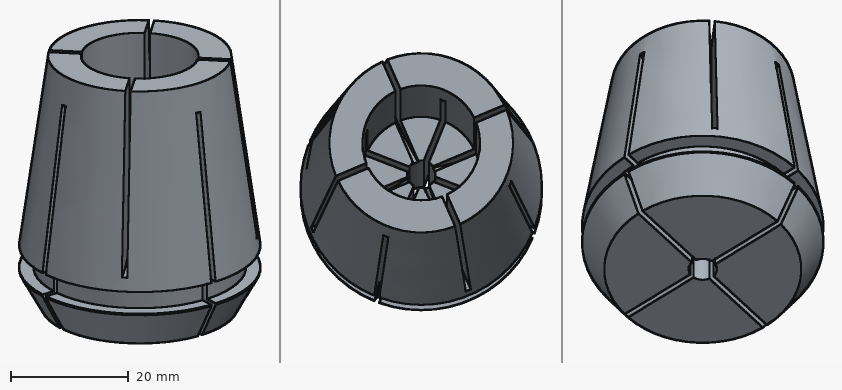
import cadquery as cq

height = 46.0
flange_radius = 20.5
top_radius = 15.6
nose_radius = 16.75
neck_radius = 18.1

rim_bottom = 6.8
rim_top = 7.1
cone_bottom = 11.1

large_bore_radius = 10.0
small_bore_radius = 2.4
bore_floor = 21.15

slot_width = 0.9
slots_per_end = 4
saw_radius = 20.7
nose_saw_center = (23.65, 21.6)
top_saw_center = (17.65, 34.1)


def make_body():
    """Solid of revolution about Z: nose cone, thin rim, neck and long taper."""
    profile = [
        (0, 0),
        (nose_radius, 0),
        (flange_radius, rim_bottom),
        (flange_radius, rim_top),
        (neck_radius, rim_top),
        (neck_radius, cone_bottom),
        (flange_radius, cone_bottom),
        (top_radius, height),
        (0, height),
    ]
    return cq.Workplane("XZ").polyline(profile).close().revolve(360, (0, 0), (0, 1))


def make_bore():
    """Small through hole that opens into the large bore above the floor."""
    small = cq.Workplane("XY").circle(small_bore_radius).extrude(height)
    large = (
        cq.Workplane("XY", origin=(0, 0, bore_floor))
        .circle(large_bore_radius)
        .extrude(height - bore_floor)
    )
    return small.union(large)


def make_saw_slot(saw_center, open_end):
    """Slot on the +X side that ends in the arc of a saw disc and runs out at open_end."""
    distance, level = saw_center
    reach = distance + saw_radius
    disc = (
        cq.Workplane("XZ")
        .center(distance, level)
        .circle(saw_radius)
        .extrude(slot_width / 2, both=True)
    )
    run_out = (
        cq.Workplane("XZ")
        .center(reach / 2, (level + open_end) / 2)
        .rect(reach, abs(open_end - level))
        .extrude(slot_width / 2, both=True)
    )
    return disc.union(run_out)


def about_axis(shape, angle):
    return shape.rotate((0, 0, 0), (0, 0, 1), angle)


slot_pitch = 360 / slots_per_end
nose_slot = make_saw_slot(nose_saw_center, 0)
top_slot = make_saw_slot(top_saw_center, height)

result = about_axis(make_body(), slot_pitch / 4).cut(make_bore())
for index in range(slots_per_end):
    result = result.cut(about_axis(nose_slot, index * slot_pitch))
    result = result.cut(about_axis(top_slot, (index + 0.5) * slot_pitch))